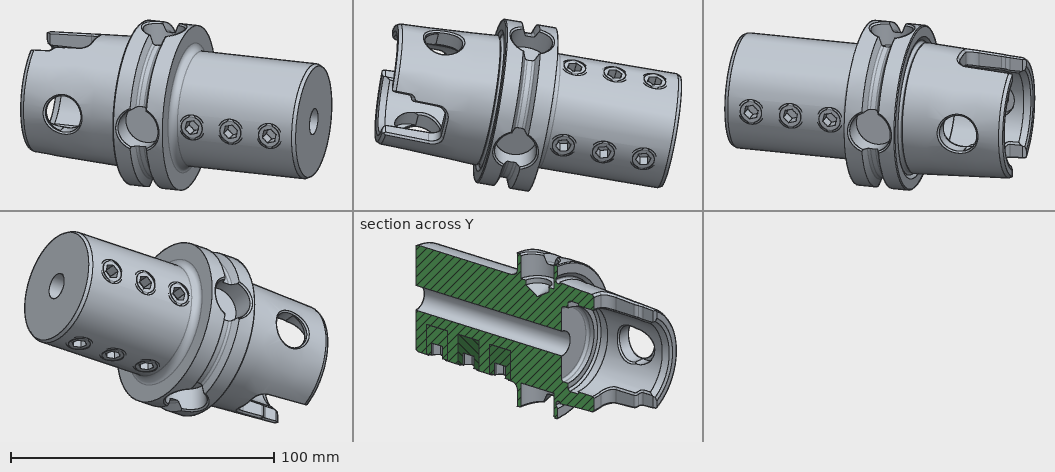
import cadquery as cq
import math


shank_length = 39.95
flange_width = 20.0
nose_end = 70.0

taper_large_radius = 25.0
taper_slope = 1 / 20
taper_end_x = -1.1
taper_tip_length = 1.4
taper_tip_drop = 0.7
tip_allowance = 5.0

relief_radius = 24.2
relief_start_x = -0.7
relief_depth = 0.8
relief_corner_radius = 1.2
relief_inner_radius = 25.8
relief_outer_radius = 27.2

flange_radius = 31.5
flange_edge = 0.4
groove_x = flange_width / 2
groove_half_width = 3.3
groove_floor_radius = 27.8
groove_floor_half_width = 1.7
groove_corner_radius = 1.1

nose_radius = 22.0
nose_root_radius = 2.8
nose_chamfer_length = 1.4
nose_chamfer_drop = 0.7

mouth_radius = 20.1
mouth_step_radius = 18.7
mouth_step_depth = 0.5
bore_radius = 17.6
mouth_depth = 3.0
clamp_groove_radius = 18.5
clamp_groove_start_x = -10.0
clamp_groove_end_x = -5.1
clamp_groove_bevel = 0.9
recess_radius = 15.4
recess_floor_x = -2.0
recess_corner_radius = 1.1
through_hole_radius = 5.0

slot_end_x = -18.0
slot_half_width = 8.1
slot_wide_half_width = 10.1
slot_end_radius = 4.0
slot_wide_end_x = -33.7
slot_narrow_start_x = -30.8
slot_mouth_bevel_length = 1.3
slot_mouth_bevel_width = 0.6
slot_edge_chamfer = 0.95
opening_inner_chamfer = 0.6

cross_hole_x = -22.6
cross_hole_radius = 7.25
cross_hole_chamfer = 0.7
inner_hole_shift = 3.4
inner_hole_reach = 21.5

pocket_count = 4
pocket_radius = 8.0
pocket_chamfer = 0.7
pocket_floor_distance = 21.5
center_drill_radius = 5.5
center_drill_depth = 2.0
drill_point_angle = 118.0

screw_radius = 5.0
screw_length = 12.0
screw_first_x = 28.5
screw_pitch = 15.5
screws_per_row = 3
screw_row_angles = (0.0, 90.0, 180.0)
screw_face_radius = 4.2
screw_chamfer_angle = 15.0
screw_face_depth = 0.35
socket_sides = 6
socket_across_flats = 5.0
socket_depth = 5.0
socket_turn = 47.0

tolerance = 0.05
axis_start = (0, 0, 0)
axis_end = (1, 0, 0)
tip_x = -shank_length
relief_corner_x = relief_depth - relief_corner_radius
screw_face_distance = nose_radius - screw_face_depth


def taper_radius(x):
    return taper_large_radius + (x - taper_end_x) * taper_slope


def revolve_about_x(profile):
    return profile.close().revolve(360, axis_start, axis_end)


def facing_minus_y(solid):
    """Move a solid built upward from the XY plane so that its own +Z points along -Y."""
    return solid.rotate((0, 0, 0), (1, 0, 0), 90)


def make_shank():
    """Solid taper with its slots and cross hole, first made too long and then trimmed at the tip."""
    blank_start_x = tip_x - tip_allowance
    shank = revolve_about_x(
        cq.Workplane("XY")
        .moveTo(blank_start_x, 0)
        .lineTo(blank_start_x, taper_radius(blank_start_x))
        .lineTo(taper_end_x, taper_large_radius)
        .lineTo(relief_start_x, relief_radius)
        .lineTo(relief_corner_x, relief_radius)
        .lineTo(relief_corner_x, 0)
    )
    cross_hole = (
        cq.Workplane("XZ").center(cross_hole_x, 0).circle(cross_hole_radius).extrude(flange_radius, both=True)
    )
    plain_bore = (
        cq.Workplane("YZ")
        .workplane(offset=blank_start_x)
        .circle(bore_radius)
        .extrude(clamp_groove_start_x - blank_start_x)
    )
    shank = shank.cut(plain_bore).cut(make_slot()).cut(cross_hole)
    shank = shank.newObject(cross_hole_rims(shank)).chamfer(cross_hole_chamfer)
    shank = shank.newObject(drive_slot_rims(shank)).chamfer(slot_edge_chamfer)
    shank = shank.newObject(bore_opening_edges(shank)).chamfer(opening_inner_chamfer)
    shank = shank.cut(make_inner_cross_hole())
    return shank.intersect(make_tip_envelope()).cut(make_slot_mouth())


def make_tip_envelope():
    """Everything behind the tip face and inside the tip chamfer."""
    chamfer_x = tip_x + taper_tip_length
    return revolve_about_x(
        cq.Workplane("XY")
        .moveTo(tip_x, 0)
        .lineTo(tip_x, taper_radius(chamfer_x) - taper_tip_drop)
        .lineTo(chamfer_x, taper_radius(chamfer_x))
        .lineTo(chamfer_x, flange_radius)
        .lineTo(flange_width, flange_radius)
        .lineTo(flange_width, 0)
    )


def make_flange():
    arc_offset = relief_corner_radius * (1 - math.sqrt(0.5))
    blank = revolve_about_x(
        cq.Workplane("XY")
        .moveTo(relief_corner_x, 0)
        .lineTo(relief_corner_x, relief_radius)
        .threePointArc(
            (relief_depth - arc_offset, relief_radius + arc_offset),
            (relief_depth, relief_radius + relief_corner_radius),
        )
        .lineTo(relief_depth, relief_inner_radius)
        .lineTo(0, relief_outer_radius)
        .lineTo(0, flange_radius - flange_edge)
        .lineTo(flange_edge, flange_radius)
        .lineTo(flange_width, flange_radius)
        .lineTo(flange_width, 0)
    )
    return cut_gripper_groove(cut_pockets(blank))


def cut_pockets(flange):
    depth = flange_radius - pocket_floor_distance
    pocket = (
        cq.Workplane("XY")
        .workplane(offset=pocket_floor_distance)
        .center(groove_x, 0)
        .circle(pocket_radius)
        .extrude(depth)
    )
    for index in range(pocket_count):
        flange = flange.cut(pocket.rotate(axis_start, axis_end, index * 360 / pocket_count))
    flange = flange.edges("%BSPLINE").chamfer(pocket_chamfer)
    point_height = center_drill_radius / math.tan(math.radians(drill_point_angle / 2))
    drill_floor = pocket_floor_distance - center_drill_depth
    center_drill = (
        cq.Workplane("XZ")
        .moveTo(0, pocket_floor_distance)
        .lineTo(center_drill_radius, pocket_floor_distance)
        .lineTo(center_drill_radius, drill_floor)
        .lineTo(0, drill_floor - point_height)
        .close()
        .revolve(360, (0, 0, 0), (0, 1, 0))
        .translate((groove_x, 0, 0))
    )
    return flange.cut(center_drill)


def cut_gripper_groove(flange):
    ring = (
        cq.Workplane("XY")
        .moveTo(groove_x - groove_half_width, flange_radius)
        .lineTo(groove_x - groove_floor_half_width, groove_floor_radius)
        .lineTo(groove_x + groove_floor_half_width, groove_floor_radius)
        .lineTo(groove_x + groove_half_width, flange_radius)
    )
    ring = revolve_about_x(ring)
    floor_corners = cq.selectors.RadiusNthSelector(0)
    return flange.cut(ring.edges("%CIRCLE").edges(floor_corners).fillet(groove_corner_radius))


def make_nose():
    root_outer = nose_radius + nose_root_radius
    arc_offset = nose_root_radius * (1 - math.sqrt(0.5))
    return revolve_about_x(
        cq.Workplane("XY")
        .moveTo(flange_width, 0)
        .lineTo(flange_width, root_outer)
        .threePointArc(
            (flange_width + arc_offset, nose_radius + arc_offset),
            (flange_width + nose_root_radius, nose_radius),
        )
        .lineTo(nose_end - nose_chamfer_length, nose_radius)
        .lineTo(nose_end, nose_radius - nose_chamfer_drop)
        .lineTo(nose_end, 0)
    )


def make_bore():
    arc_offset = recess_corner_radius * (1 - math.sqrt(0.5))
    return revolve_about_x(
        cq.Workplane("XY")
        .moveTo(tip_x, 0)
        .lineTo(tip_x, mouth_radius)
        .lineTo(tip_x + mouth_step_depth, mouth_step_radius)
        .lineTo(tip_x + mouth_depth, bore_radius)
        .lineTo(clamp_groove_start_x, bore_radius)
        .lineTo(clamp_groove_start_x, clamp_groove_radius)
        .lineTo(clamp_groove_end_x - clamp_groove_bevel, clamp_groove_radius)
        .lineTo(clamp_groove_end_x, bore_radius)
        .lineTo(clamp_groove_end_x, recess_radius)
        .lineTo(recess_floor_x - recess_corner_radius, recess_radius)
        .threePointArc(
            (recess_floor_x - arc_offset, recess_radius - arc_offset),
            (recess_floor_x, recess_radius - recess_corner_radius),
        )
        .lineTo(recess_floor_x, through_hole_radius)
        .lineTo(nose_end, through_hole_radius)
        .lineTo(nose_end, 0)
    )


def make_slot():
    start_x = tip_x - tip_allowance
    bend_x = (slot_wide_end_x + slot_narrow_start_x) / 2
    bend_y = -(slot_wide_half_width + slot_half_width) / 2
    slot = (
        cq.Workplane("XY")
        .workplane(offset=-flange_radius)
        .moveTo(start_x, slot_half_width)
        .lineTo(slot_end_x, slot_half_width)
        .lineTo(slot_end_x, -slot_half_width)
        .lineTo(slot_narrow_start_x, -slot_half_width)
        .tangentArcPoint((bend_x, bend_y), relative=False)
        .tangentArcPoint((slot_wide_end_x, -slot_wide_half_width), relative=False)
        .lineTo(start_x, -slot_wide_half_width)
        .close()
        .extrude(2 * flange_radius)
    )
    return slot.edges("|Z and >X").fillet(slot_end_radius)


def make_slot_mouth():
    """Wedge that bevels the corners where the slots leave the tip."""
    inner_x = tip_x + slot_mouth_bevel_length
    return (
        cq.Workplane("XY")
        .workplane(offset=-flange_radius)
        .moveTo(tip_x, slot_half_width + slot_mouth_bevel_width)
        .lineTo(inner_x, slot_half_width)
        .lineTo(inner_x, -slot_wide_half_width)
        .lineTo(tip_x, -slot_wide_half_width - slot_mouth_bevel_width)
        .close()
        .extrude(2 * flange_radius)
    )


def drive_slot_rims(shank):
    """Edges where the drive slots break through the outside of the taper."""
    return [
        edge
        for edge in shank.edges().vals()
        if edge.geomType() != "LINE" and abs(edge.Center().z) > bore_radius
    ]


def bore_opening_edges(shank):
    """Edges where the drive slots and the cross hole break into the bore, without the bore's seam."""
    edges = []
    for edge in shank.edges().vals():
        start = edge.startPoint()
        middle = edge.positionAt(0.5)
        start_on_bore = abs(math.hypot(start.y, start.z) - bore_radius) < tolerance
        middle_on_bore = abs(math.hypot(middle.y, middle.z) - bore_radius) < tolerance
        between_ends = tip_x - tip_allowance + tolerance < middle.x < clamp_groove_start_x - tolerance
        is_seam = edge.geomType() == "LINE" and abs(middle.z) < tolerance
        if start_on_bore and middle_on_bore and between_ends and not is_seam:
            edges.append(edge)
    return edges


def make_inner_cross_hole():
    """Second hole nearer the tip that overlaps the cross hole and stops part way into the wall."""
    return (
        cq.Workplane("XZ")
        .center(cross_hole_x - inner_hole_shift, 0)
        .circle(cross_hole_radius)
        .extrude(inner_hole_reach, both=True)
    )


def cross_hole_rims(shank):
    """Edges where the cross hole breaks through the outside of the taper."""
    return [edge for edge in shank.edges("%BSPLINE").vals() if abs(edge.Center().y) > bore_radius]


def make_screw(x):
    """Set screw standing along -Y, its chamfered end just below the crown of the nose."""
    chamfer_height = (screw_radius - screw_face_radius) * math.tan(math.radians(screw_chamfer_angle))
    screw = (
        cq.Workplane("XZ")
        .moveTo(0, screw_face_distance - screw_length)
        .lineTo(screw_radius, screw_face_distance - screw_length)
        .lineTo(screw_radius, screw_face_distance - chamfer_height)
        .lineTo(screw_face_radius, screw_face_distance)
        .lineTo(0, screw_face_distance)
        .close()
        .revolve(360, (0, 0, 0), (0, 1, 0))
    )
    return facing_minus_y(screw).translate((x, 0, 0))


def make_screw_opening(x):
    """Clearance between the end of a set screw and the outside of the nose."""
    opening = (
        cq.Workplane("XY")
        .workplane(offset=screw_face_distance)
        .circle(screw_face_radius)
        .extrude(screw_face_depth)
    )
    return facing_minus_y(opening).translate((x, 0, 0))


def make_socket(x):
    socket = (
        cq.Workplane("XY")
        .workplane(offset=screw_face_distance - socket_depth)
        .polygon(socket_sides, socket_across_flats, circumscribed=True)
        .extrude(socket_depth)
        .rotate((0, 0, 0), (0, 0, 1), socket_turn)
    )
    return facing_minus_y(socket).translate((x, 0, 0))


housing = make_shank().union(make_flange()).union(make_nose()).cut(make_bore())

screws = []
for angle in screw_row_angles:
    for index in range(screws_per_row):
        x = screw_first_x + index * screw_pitch
        screw_blank = make_screw(x).rotate(axis_start, axis_end, angle)
        socket = make_socket(x).rotate(axis_start, axis_end, angle)
        opening = make_screw_opening(x).rotate(axis_start, axis_end, angle)
        housing = housing.cut(screw_blank).cut(opening)
        screws.append(screw_blank.cut(socket))

result = cq.Compound.makeCompound([housing.val(), *[screw.val() for screw in screws]])